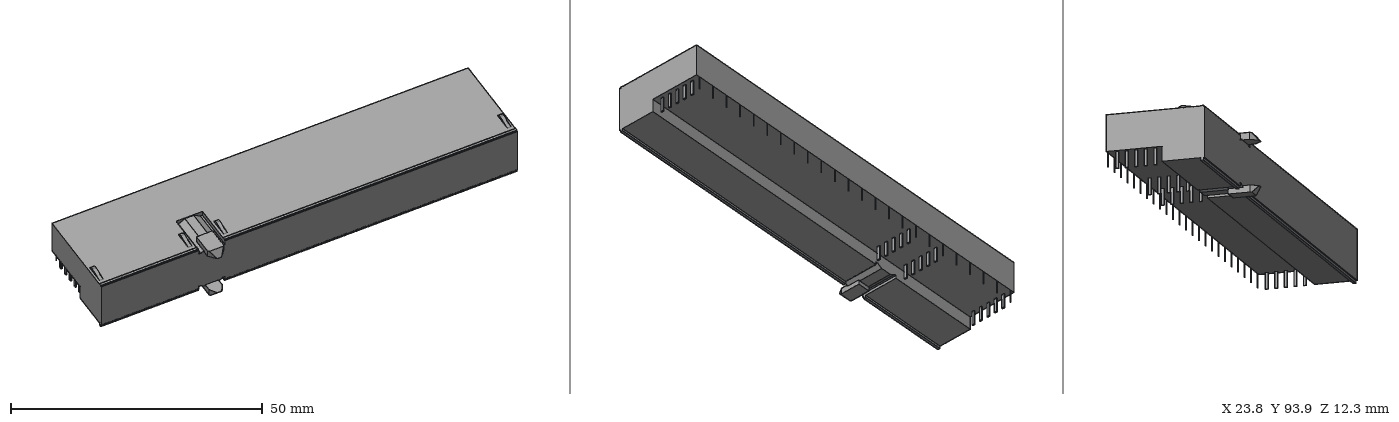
import cadquery as cq
import math

TOTAL_LENGTH_X = 23.75
TOTAL_LENGTH_Y = 93.9
TOTAL_HEIGHT = 12.25

BODY_TOP = 11.65
BODY_UNDERSIDE = 4.05
WALL_BOTTOM = 0.95
WALL_START_X = 11.7
BODY_END_X = 20.65

RIM_START_X = 19.8
RIM_END_X = 20.4
RIM_BOTTOM = 0.4
RIM_TOP = BODY_TOP + 0.1
FACE_PLATE_TOP = BODY_TOP - 0.1

CONTACT_COUNT = 24
CONTACT_PITCH = 4.0
CONTACT_THICKNESS = 0.1
CONTACT_WIDTH = 0.15
CONTACT_BOTTOM = 1.1
CONTACT_END_Y = (CONTACT_COUNT - 1) * CONTACT_PITCH / 2

LATCH_Y = -22.0
STATIONS_Y = (
    -CONTACT_END_Y,
    LATCH_Y - CONTACT_PITCH,
    LATCH_Y + CONTACT_PITCH,
    CONTACT_END_Y,
)
POST_COUNT = 5
POST_PITCH = 2.0
POST_WIDTH = 0.6
POST_THICKNESS = 0.3
POST_BOTTOM = 0.65

RIDGE_WIDTH = 0.85
RIDGE_START_X = 14.8
RIDGE_CREST_X = 15.85
RIDGE_END_X = 18.9

CHANNEL_START_X = 11.2
CHANNEL_HALF_WIDTH = 2.95
KEY_BASE_HALF_WIDTH = 2.5
KEY_CREST_HALF_WIDTH = 1.0
KEY_SLOPE_DEGREES = 30.0
KEY_HEIGHT = (KEY_BASE_HALF_WIDTH - KEY_CREST_HALF_WIDTH) * math.tan(math.radians(KEY_SLOPE_DEGREES))
UPPER_KEY_CREST = BODY_TOP - 0.2
LOWER_KEY_CREST = WALL_BOTTOM - 0.15

LATCH_START_X = 17.6
LATCH_TAPER_X = 22.2
LATCH_BEVEL_X = 22.5
LATCH_THICKNESS = 1.45
LATCH_TIP_HALF_WIDTH = 0.5
UPPER_LATCH_HALF_WIDTH = 1.85
LOWER_LATCH_HALF_WIDTH = 1.5

OVERLAP = 0.2


def block(x_range, y_range, z_range):
    """Axis-aligned box between the given (low, high) limits."""
    sizes = [high - low for low, high in (x_range, y_range, z_range)]
    corner = (x_range[0], y_range[0], z_range[0])
    return cq.Workplane("XY").box(*sizes, centered=False).translate(corner)


def around(centre, half_width):
    return (centre - half_width, centre + half_width)


def make_housing():
    full_y = around(0, TOTAL_LENGTH_Y / 2)
    body = block((0, RIM_END_X), full_y, (BODY_UNDERSIDE, BODY_TOP))
    wall = block((WALL_START_X, RIM_END_X), full_y, (WALL_BOTTOM, BODY_TOP))
    rim = block((RIM_START_X, RIM_END_X), full_y, (RIM_BOTTOM, RIM_TOP))
    face_plate = block((RIM_END_X, BODY_END_X), full_y, (WALL_BOTTOM, FACE_PLATE_TOP))
    return body.union(wall).union(rim).union(face_plate)


def channel_cutter(key_crest, outward):
    """Channel with a trapezoidal key on its floor; outward is +1 for the top, -1 for the bottom."""
    floor = key_crest - outward * KEY_HEIGHT
    mouth = TOTAL_HEIGHT if outward > 0 else 0
    outline = [
        (-CHANNEL_HALF_WIDTH, mouth),
        (-CHANNEL_HALF_WIDTH, floor),
        (-KEY_BASE_HALF_WIDTH, floor),
        (-KEY_CREST_HALF_WIDTH, key_crest),
        (KEY_CREST_HALF_WIDTH, key_crest),
        (KEY_BASE_HALF_WIDTH, floor),
        (CHANNEL_HALF_WIDTH, floor),
        (CHANNEL_HALF_WIDTH, mouth),
    ]
    profile = cq.Workplane("YZ").polyline(outline).close()
    return profile.extrude(TOTAL_LENGTH_X - CHANNEL_START_X).translate((CHANNEL_START_X, LATCH_Y, 0))


def make_latch(half_width, outer_z, outward):
    """Tongue whose nose narrows in Y and is bevelled on its outer side."""
    inner_z = outer_z - outward * LATCH_THICKNESS
    side = (
        cq.Workplane("XZ")
        .moveTo(LATCH_START_X, inner_z)
        .lineTo(LATCH_START_X, outer_z)
        .lineTo(LATCH_BEVEL_X, outer_z)
        .lineTo(TOTAL_LENGTH_X, inner_z)
        .close()
        .extrude(half_width, both=True)
    )
    plan = (
        cq.Workplane("XY")
        .polyline([
            (LATCH_START_X, -half_width),
            (LATCH_TAPER_X, -half_width),
            (TOTAL_LENGTH_X, -LATCH_TIP_HALF_WIDTH),
            (TOTAL_LENGTH_X, LATCH_TIP_HALF_WIDTH),
            (LATCH_TAPER_X, half_width),
            (LATCH_START_X, half_width),
        ])
        .close()
        .extrude(TOTAL_HEIGHT)
    )
    return side.intersect(plan).translate((0, LATCH_Y, 0))


def make_ridge(y):
    """Crush ridge: an arc up to the crest, then a straight ramp down to the housing top."""
    run = RIDGE_CREST_X - RIDGE_START_X
    rise = TOTAL_HEIGHT - BODY_TOP
    radius = (run ** 2 + rise ** 2) / (2 * rise)
    half_angle = math.asin(run / radius) / 2
    arc_middle = (
        RIDGE_CREST_X - radius * math.sin(half_angle),
        TOTAL_HEIGHT - radius * (1 - math.cos(half_angle)),
    )
    return (
        cq.Workplane("XZ")
        .moveTo(RIDGE_START_X, BODY_TOP - OVERLAP)
        .lineTo(RIDGE_START_X, BODY_TOP)
        .threePointArc(arc_middle, (RIDGE_CREST_X, TOTAL_HEIGHT))
        .lineTo(RIDGE_END_X, BODY_TOP)
        .lineTo(RIDGE_END_X, BODY_TOP - OVERLAP)
        .close()
        .extrude(RIDGE_WIDTH / 2, both=True)
        .translate((0, y, 0))
    )


def make_contacts():
    """Row of thin pins flush with the back face."""
    pins = []
    z_range = (CONTACT_BOTTOM, BODY_UNDERSIDE + OVERLAP)
    for index in range(CONTACT_COUNT):
        y = index * CONTACT_PITCH - CONTACT_END_Y
        pins.append(block((0, CONTACT_THICKNESS), around(y, CONTACT_WIDTH / 2), z_range))
    return pins


def make_posts():
    """Rows of flat posts across the open underside."""
    posts = []
    z_range = (POST_BOTTOM, BODY_UNDERSIDE + OVERLAP)
    for y in STATIONS_Y:
        for index in range(POST_COUNT):
            x = (index + 1) * POST_PITCH
            posts.append(block(around(x, POST_WIDTH / 2), around(y, POST_THICKNESS / 2), z_range))
    return posts


result = make_housing()
result = result.cut(channel_cutter(UPPER_KEY_CREST, 1))
result = result.cut(channel_cutter(LOWER_KEY_CREST, -1))
result = result.union(make_latch(UPPER_LATCH_HALF_WIDTH, TOTAL_HEIGHT, 1))
result = result.union(make_latch(LOWER_LATCH_HALF_WIDTH, 0, -1))
for station_y in STATIONS_Y:
    result = result.union(make_ridge(station_y))
for pin in make_contacts() + make_posts():
    result = result.union(pin)